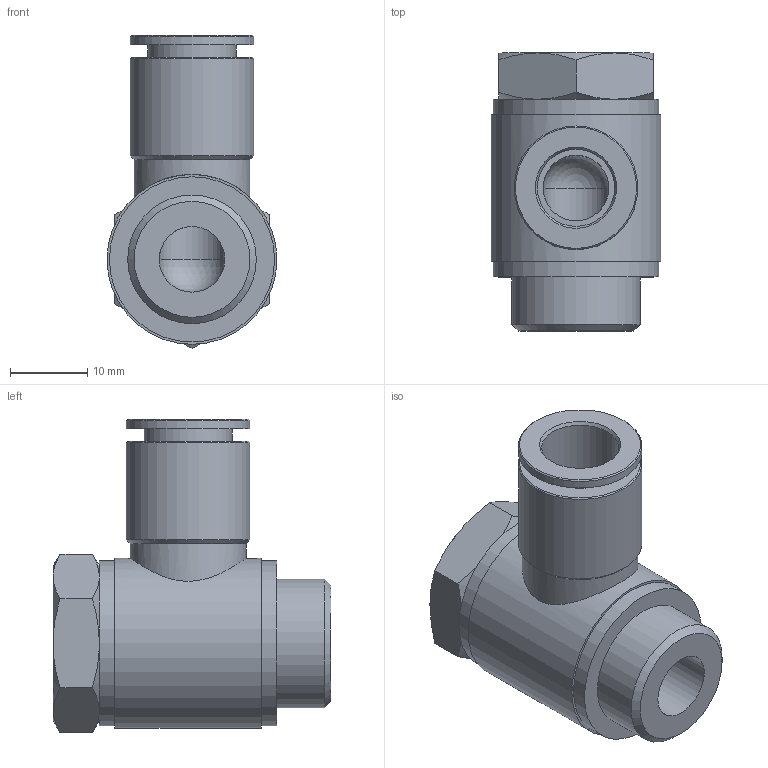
import cadquery as cq
import math


passage_diameter = 8.5

body_diameter = 22.0
body_length = 19.0
washer_diameter = 21.4
washer_thickness = 2.0

hex_across_flats = 20.0
hex_sides = 6
hex_thickness = 6.0
hex_chamfer_angle = math.radians(30.0)

thread_diameter = 16.66
thread_tip_diameter = 15.0
thread_length = 7.0

stem_diameter = 15.0
sleeve_diameter = 16.0
sleeve_bottom = 12.9
sleeve_top = 26.15
sleeve_lower_chamfer = 0.5
sleeve_upper_chamfer = 0.15
collar_diameter = 11.4
flange_bottom = 27.8
flange_chamfer = 0.15
port_top = 29.0
tube_bore_diameter = 10.0
mouth_flare_width = 0.25
mouth_half_angle = math.radians(30.0)
tube_stop = sleeve_bottom

body_end = body_length / 2
washer_end = body_end + washer_thickness
hex_end = washer_end + hex_thickness
thread_end = washer_end + thread_length


def cylinder_y(diameter, y_start, y_end):
    """Cylinder around the Y axis."""
    plane = cq.Workplane("XZ", origin=(0, y_start, 0))
    return plane.circle(diameter / 2).extrude(y_start - y_end)


def cylinder_z(diameter, z_start, z_end):
    """Cylinder around the Z axis."""
    plane = cq.Workplane("XY", origin=(0, 0, z_start))
    return plane.circle(diameter / 2).extrude(z_end - z_start)


def make_body():
    """Banjo body with a slightly smaller washer at each end."""
    washers = cylinder_y(washer_diameter, -washer_end, washer_end)
    return cylinder_y(body_diameter, -body_end, body_end).union(washers)


def make_hex_head():
    """Hexagon with corners up and down, its corners turned off on both faces."""
    across_corners = hex_across_flats / math.cos(math.pi / hex_sides)
    corner_drop = (across_corners - hex_across_flats) / 2 * math.tan(hex_chamfer_angle)
    hexagon = (
        cq.Workplane("XZ", origin=(0, hex_end, 0))
        .polygon(hex_sides, across_corners)
        .extrude(hex_thickness)
        .rotate((0, 0, 0), (0, 1, 0), 90)
    )
    flat_radius = hex_across_flats / 2
    corner_radius = across_corners / 2
    turned_blank = (
        cq.Workplane("XY")
        .moveTo(0, washer_end)
        .lineTo(flat_radius, washer_end)
        .lineTo(corner_radius, washer_end + corner_drop)
        .lineTo(corner_radius, hex_end - corner_drop)
        .lineTo(flat_radius, hex_end)
        .lineTo(0, hex_end)
        .close()
        .revolve(360, (0, 0, 0), (0, 1, 0))
    )
    return hexagon.intersect(turned_blank)


def make_threaded_end():
    """Plain cylinder in place of the thread, chamfered at the tip."""
    tip_chamfer = (thread_diameter - thread_tip_diameter) / 2
    return cylinder_y(thread_diameter, -thread_end, -washer_end).faces("<Y").chamfer(tip_chamfer)


def make_tube_port():
    """Stem, sleeve, and release collar with its flange."""
    stem = cylinder_z(stem_diameter, 0, sleeve_bottom)
    sleeve = cylinder_z(sleeve_diameter, sleeve_bottom, sleeve_top)
    sleeve = sleeve.faces("<Z").chamfer(sleeve_lower_chamfer)
    sleeve = sleeve.faces(">Z").chamfer(sleeve_upper_chamfer)
    collar = cylinder_z(collar_diameter, sleeve_top, flange_bottom)
    flange = cylinder_z(sleeve_diameter, flange_bottom, port_top)
    flange = flange.faces(">Z").chamfer(flange_chamfer)
    return stem.union(sleeve).union(collar).union(flange)


def make_passage():
    """Two bores meeting in a spherical elbow at the origin."""
    elbow = cq.Workplane("XY").sphere(passage_diameter / 2)
    bolt_bore = cylinder_y(passage_diameter, -thread_end, 0)
    port_bore = cylinder_z(passage_diameter, 0, tube_stop)
    return elbow.union(bolt_bore).union(port_bore)


def make_tube_socket():
    """Counterbore for the tube, flared at its mouth."""
    bore = cylinder_z(tube_bore_diameter, tube_stop, port_top)
    bore_radius = tube_bore_diameter / 2
    flare_depth = mouth_flare_width / math.tan(mouth_half_angle)
    flare = (
        cq.Workplane("XY", origin=(0, 0, port_top - flare_depth))
        .circle(bore_radius)
        .workplane(offset=flare_depth)
        .circle(bore_radius + mouth_flare_width)
        .loft()
    )
    return bore.union(flare)


solid_fitting = make_body().union(make_hex_head()).union(make_threaded_end()).union(make_tube_port())
result = solid_fitting.cut(make_passage()).cut(make_tube_socket())